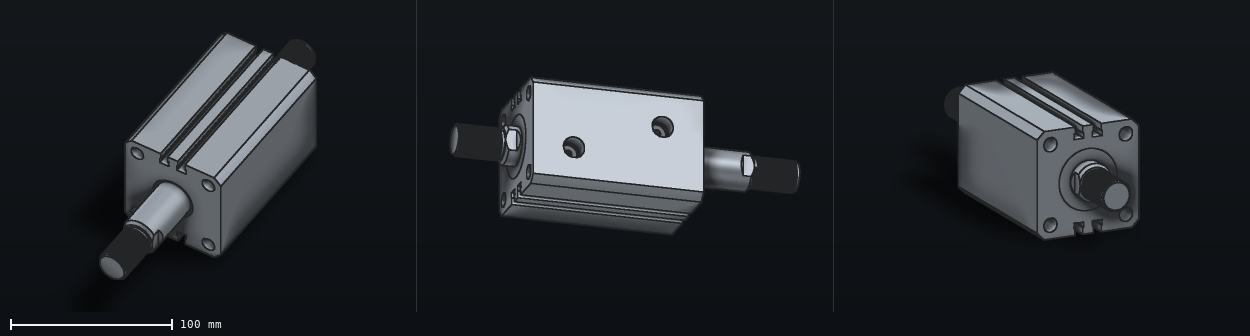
import cadquery as cq

body_width = 70.0
body_front = -40.0
body_length = 110.5
body_rear = body_front + body_length
corner_radius = 46.2
body_middle = body_front + body_length / 2

rod_length = 221.0
rod_diameter = 25.0
seal_recess_diameter = 29.0
seal_recess_depth = 1.0
bore_diameter = 40.0
chamber_length = 58.5
chamber_front = body_middle - chamber_length / 2
chamber_rear = body_middle + chamber_length / 2

bolt_spacing = 52.0
bolt_hole_diameter = 9.0

slot_spacing = 12.5
slot_width = 5.3
slot_depth = 8.0
slot_groove_width = 6.6
slot_groove_height = 3.3

port_spacing = 57.5
port_offset = 10.0
port_diameter = 13.5
port_depth = 10.5
drill_diameter = 11.7
drill_depth = 12.8
passage_diameter = 5.0
passage_end = 15.5

thread_diameter = 20.1
core_diameter = 18.0
core_length = 30.0
thread_pitch = 2.0
thread_turns = 13.8
thread_tip_gap = 0.2
ridge_crest_width = thread_pitch / 4
ridge_base_width = thread_pitch * 3 / 4
ridge_embed = 0.2
shank_chamfer = 2.0
flat_width = 21.0
flat_length = 7.0
shoulder = rod_length / 2 - core_length


def y_cylinder(diameter, start, end, x=0.0, z=0.0):
    """Cylinder along Y between two Y positions."""
    base = cq.Workplane("XZ", origin=(x, start, z)).circle(diameter / 2)
    return base.extrude(start - end)


def sensor_slot(x, side):
    """Undercut slot along the housing; side is +1 for the top, -1 for the bottom."""
    face = side * body_width / 2
    floor = face - side * slot_depth
    mouth = cq.Workplane("XY").box(slot_width, body_length, slot_depth)
    mouth = mouth.translate((x, body_middle, (face + floor) / 2))
    groove = cq.Workplane("XY").box(slot_groove_width, body_length, slot_groove_height)
    groove = groove.translate((x, body_middle, floor + side * slot_groove_height / 2))
    return mouth.union(groove)


def port(y, z):
    """Flat-bottomed stepped port with a narrower passage into the chamber."""
    face = body_width / 2
    plane = cq.Workplane("YZ", origin=(-face, y, z))
    mouth = plane.circle(port_diameter / 2).extrude(port_depth)
    drill = plane.circle(drill_diameter / 2).extrude(drill_depth)
    passage = plane.circle(passage_diameter / 2).extrude(face - passage_end)
    return mouth.union(drill).union(passage)


def make_housing():
    body = cq.Workplane("XY").box(body_width, body_length, body_width)
    body = body.translate((0, body_middle, 0))
    body = body.intersect(y_cylinder(2 * corner_radius, body_front, body_rear))
    for side in (-1, 1):
        for x in (-slot_spacing / 2, slot_spacing / 2):
            body = body.cut(sensor_slot(x, side))
    for x in (-bolt_spacing / 2, bolt_spacing / 2):
        for z in (-bolt_spacing / 2, bolt_spacing / 2):
            body = body.cut(y_cylinder(bolt_hole_diameter, body_front, body_rear, x, z))
    body = body.cut(y_cylinder(rod_diameter, body_front, body_rear))
    body = body.cut(y_cylinder(seal_recess_diameter, body_front, body_front + seal_recess_depth))
    body = body.cut(y_cylinder(bore_diameter, chamber_front, body_rear))
    for end in (-1, 1):
        body = body.cut(port(body_middle + end * port_spacing / 2, -end * port_offset))
    return body


def make_gland():
    gland = y_cylinder(bore_diameter, chamber_rear, body_rear)
    return gland.cut(y_cylinder(rod_diameter, chamber_rear, body_rear))


def rod_end_profile():
    """Half-profile (radius, distance from mid-length) of one end, from shank to tip."""
    core = core_diameter / 2
    return [
        (rod_diameter / 2, shoulder - shank_chamfer),
        (rod_diameter / 2 - shank_chamfer, shoulder),
        (core, shoulder),
        (core, rod_length / 2),
    ]


def thread_ridge():
    """Right-hand helical ridge of the rear thread, ending just short of the tip."""
    crest = thread_diameter / 2
    base = core_diameter / 2 - ridge_embed
    travel = thread_turns * thread_pitch
    section = cq.Workplane("XZ").polyline([
        (base, -ridge_base_width / 2),
        (crest, -ridge_crest_width / 2),
        (crest, ridge_crest_width / 2),
        (base, ridge_base_width / 2),
    ]).close()
    path = cq.Wire.makeHelix(thread_pitch, travel, base)
    ridge = section.sweep(cq.Workplane(path), isFrenet=True)
    ridge = ridge.rotate((0, 0, 0), (1, 0, 0), -90)
    end = rod_length / 2 - thread_tip_gap - ridge_base_width / 2
    return ridge.translate((0, end - travel, 0))


def wrench_flat(side, end):
    """Cutter for one flat, with a 45 degree run-out into the shank."""
    flat = flat_width / 2
    reach = rod_diameter - flat
    flat_start = shoulder - flat_length
    outline = [
        (side * flat, end * shoulder),
        (side * flat, end * flat_start),
        (side * (flat + reach), end * (flat_start - reach)),
        (side * (flat + reach), end * shoulder),
    ]
    return cq.Workplane("XY").polyline(outline).close().extrude(rod_diameter / 2, both=True)


def make_rod():
    rear = rod_end_profile()
    front = [(radius, -y) for radius, y in reversed(rear)]
    outline = [(0, -rod_length / 2)] + front + rear + [(0, rod_length / 2)]
    rod = cq.Workplane("XY").polyline(outline).close().revolve(360, (0, 0, 0), (0, 1, 0))
    for side in (-1, 1):
        for end in (-1, 1):
            rod = rod.cut(wrench_flat(side, end))
    ridge = thread_ridge()
    for turn in (0, 180):
        rod = rod.union(ridge.rotate((0, 0, 0), (0, 0, 1), turn))
    return rod


housing = make_housing()
gland = make_gland()
rod = make_rod()
result = cq.Compound.makeCompound([body.solids().val() for body in (housing, gland, rod)])